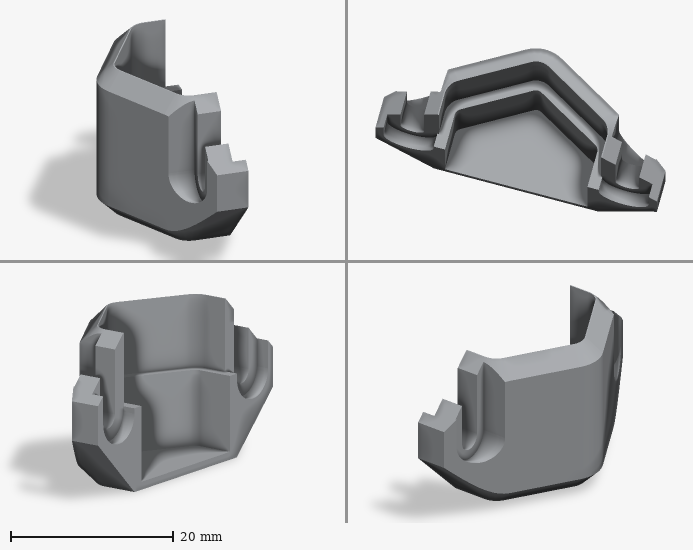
import cadquery as cq
import math

WIDTH = 36.0
DEPTH = 13.75
HEIGHT = 20.0
NOSE_ANGLE = math.radians(30)

BEVEL_ANGLE = 45
BEVEL_RUN = 7.5
FRONT_BEVEL = 2.1
NOSE_RADIUS = 4.5
RIM_RADIUS = NOSE_RADIUS - FRONT_BEVEL
RIM_HALF_WIDTH = WIDTH / 2 - BEVEL_RUN

NOSE_TRIM = NOSE_RADIUS * (1 / math.cos(NOSE_ANGLE) - 1)
APEX_Y = -(DEPTH + NOSE_TRIM)
RIM_APEX_Y = APEX_Y + FRONT_BEVEL / math.cos(NOSE_ANGLE)

RIM_THICKNESS = 0.15
LEDGE_Z = 10.7
LEDGE_WIDTH = 1.25
FLOOR_Z = 1.0

SLOT_X = 13.75
SLOT_Z = HEIGHT / 2
SLOT_RADIUS = 1.5
FRONT_RADIUS = 2.8
BACK_RADIUS = 3.2
BACK_DEPTH = 1.73
FRONT_Y = -4.75
MARGIN = 18.0


def pointed_prism(half_width, apex_y, back_y, bottom_z, height):
    """Vertical prism with parallel sides and a pointed front."""
    shoulder_y = apex_y + half_width * math.tan(NOSE_ANGLE)
    outline = [
        (-half_width, back_y),
        (-half_width, shoulder_y),
        (0, apex_y),
        (half_width, shoulder_y),
        (half_width, back_y),
    ]
    return cq.Workplane("XY").workplane(offset=bottom_z).polyline(outline).close().extrude(height)


def rounded_prism(inset, back_y, bottom_z, height):
    """Prism inside the rim outline, its three front corners rounded."""
    apex_y = RIM_APEX_Y + inset / math.cos(NOSE_ANGLE)
    prism = pointed_prism(RIM_HALF_WIDTH - inset, apex_y, back_y, bottom_z, height)
    front_edges = prism.edges("|Z").edges("not(>Y)")
    return front_edges.fillet(RIM_RADIUS - inset)


def flared_solid():
    """Solid widening upward from the rim outline at the bevel angle."""
    rim = rounded_prism(0, MARGIN, 0, 0.35).faces("<Z").wires()
    return cq.Workplane("XY").add(rim).toPending().extrude(HEIGHT, taper=-BEVEL_ANGLE)


def slot(x, radius, front_y, back_y):
    """Upright slot cutter with a round lower end, running along Y."""
    plane = cq.Workplane("XZ", origin=(x, back_y, SLOT_Z))
    return (
        plane.moveTo(-radius, MARGIN)
        .lineTo(-radius, 0)
        .threePointArc((0, -radius), (radius, 0))
        .lineTo(radius, MARGIN)
        .close()
        .extrude(back_y - front_y)
    )


outer = pointed_prism(WIDTH / 2, APEX_Y, 0, 0, HEIGHT)
outer = outer.edges("|Z and <Y").fillet(NOSE_RADIUS)
bottom_bevel = flared_solid()
top_bevel = bottom_bevel.mirror("XY", (0, 0, HEIGHT / 2))
body = outer.intersect(bottom_bevel).intersect(top_bevel)

body = body.cut(rounded_prism(RIM_THICKNESS, MARGIN, LEDGE_Z, HEIGHT))
body = body.cut(rounded_prism(RIM_THICKNESS + LEDGE_WIDTH, MARGIN, FLOOR_Z, HEIGHT))

for side in (-1, 1):
    x = side * SLOT_X
    body = body.cut(slot(x, SLOT_RADIUS, -MARGIN, MARGIN))
    body = body.cut(slot(x, FRONT_RADIUS, -MARGIN, FRONT_Y))
    body = body.cut(slot(x, BACK_RADIUS, -BACK_DEPTH, MARGIN))

    opening = cq.Workplane("XY").box(
        BACK_RADIUS, BACK_DEPTH, HEIGHT, centered=(True, False, False)
    )
    opening_x = side * (SLOT_X - BACK_RADIUS)
    body = body.cut(opening.translate((opening_x, -BACK_DEPTH, LEDGE_Z)))

result = body